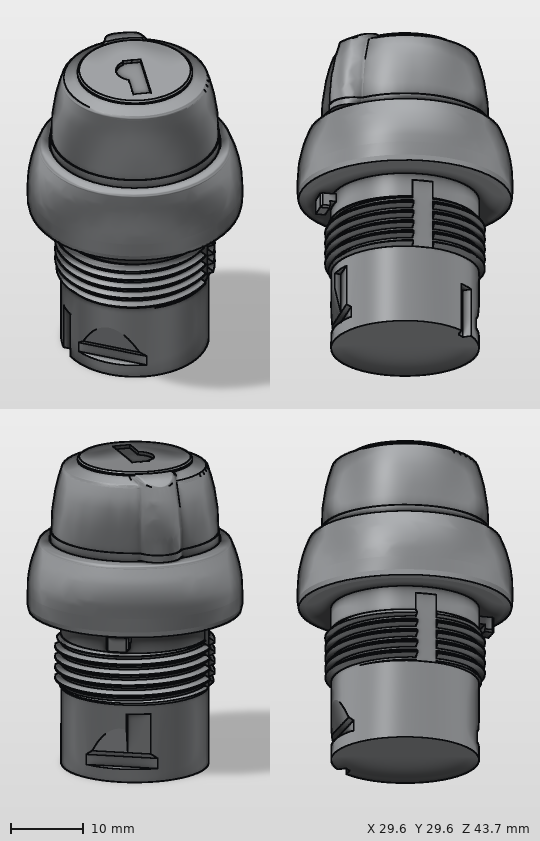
import cadquery as cq
import math

total_height = 43.7
bezel_bottom = 21.85
bezel_top = 32.05
skirt_top = 33.15

barrel_radius = 10.2
neck_radius = 10.23
thread_radius = 11.0
thread_pitch = 1.5
thread_bottom = 11.05
thread_top = 18.5
crest_width = thread_pitch / 8
tooth_height = thread_radius - barrel_radius
flank_angle = math.radians(30)
crest_height_at_x = 18.15
root_embed = 0.17

bezel_diameter = 29.6
bezel_radius = bezel_diameter / 2
bezel_band = (22.75, 24.7)
bezel_base_radius = 13.75
bezel_lower_rim = (14.65, 22.02)
bezel_dome_middle = (14.38, 28.3)
bezel_dome_end = (13.35, 31.38)
bezel_rim_middle = (13.2, 31.65)
bezel_rim_end = (12.9, 31.8)

keyway_width = 2.9
keyway_top = 20.9
keyway_floor = math.sqrt(barrel_radius**2 - (keyway_width / 2) ** 2)

hook_width = 3.15
hook_top = 21.3
hook_arm_bottom = 20.2
hook_bottom = 19.23
hook_inner = 11.0
hook_outer = 12.32
hook_chamfer = 0.3

notch_floor = 8.85
notch_bottom = 1.9
notch_floor_top = 3.3
notch_knee = (9.3, 4.0)
notch_runout = 7.65

groove_top = 6.9
groove_outer = 8.95
groove_floor_start = (-6.7, -5.95)
groove_floor_end = (-5.9, -6.75)
groove_far_side = (-6.85, -8.1)
recess_floor = 9.3
recess_left = -4.2
recess_right = -0.87
recess_bottom = 4.0
recess_top = 9.75

knob_radius = 11.5
skirt_radius = 11.62
knob_side_middle = (11.1, 38.35)
knob_side_end = (10.15, 42.05)
knob_rim_middle = (10.0, 42.35)
knob_rim_end = (9.8, 42.5)
lock_radius = 7.9
lock_chamfer = 0.25
lock_seat = 43.2
pointer_bevel = 0.4
gap_width = 0.17
gap_depth = 0.45

pointer_angle = 120.0
pointer_bottom = 32.15
pointer_root = 4.35
pointer_skirt_tip = (9.88, 3.3)
pointer_sections = [
    (skirt_top, 9.88, 3.2),
    (38.45, 9.6, 3.05),
    (42.4, 8.83, 2.75),
    (total_height, 8.45, 2.62),
]
crown_dome_middle = (10.05, 43.25)
crown_dome_edge = (11.8, 42.2)
crown_shoulder = (16.0, 38.45)
pointer_taper = math.radians(18)
pointer_fillet = 0.45
joint_near = 2.4
joint_far = 3.7
key_width = 2.5
key_back = 2.6
key_front = 5.95
key_bow_radius = 2.62
key_depth = 0.5


def revolve_about_z(sketch):
    """Revolve an XZ outline (radius, height) around the part axis."""
    return sketch.close().revolve(360, (0, 0, 0), (0, 1, 0))


def make_barrel():
    """Plain cylinder with a slightly thicker neck above the thread."""
    neck = cq.Workplane("XY").workplane(offset=thread_top).circle(neck_radius)
    neck = neck.extrude(bezel_bottom + gap_depth - thread_top)
    return cq.Workplane("XY").circle(barrel_radius).extrude(thread_top).union(neck)


def make_thread():
    """Right-hand 60 degree thread that fades out at both ends."""
    turns_below = math.ceil((crest_height_at_x - thread_bottom) / thread_pitch) + 1
    start = crest_height_at_x - turns_below * thread_pitch
    length = (turns_below + 1) * thread_pitch
    root_radius = barrel_radius - root_embed
    half_crest = crest_width / 2
    half_root = half_crest + (thread_radius - root_radius) * math.tan(flank_angle)
    helix = cq.Wire.makeHelix(thread_pitch, length, root_radius, center=cq.Vector(0, 0, start))
    tooth = (
        cq.Workplane("XZ")
        .moveTo(root_radius, start - half_root)
        .lineTo(thread_radius, start - half_crest)
        .lineTo(thread_radius, start + half_crest)
        .lineTo(root_radius, start + half_root)
        .close()
        .sweep(cq.Workplane(helix), isFrenet=True)
    )
    envelope = revolve_about_z(
        cq.Workplane("XZ")
        .moveTo(0, thread_bottom)
        .lineTo(barrel_radius, thread_bottom)
        .lineTo(thread_radius + root_embed, thread_bottom + tooth_height + root_embed)
        .lineTo(thread_radius + root_embed, thread_top - tooth_height - root_embed)
        .lineTo(barrel_radius, thread_top)
        .lineTo(0, thread_top)
    )
    return tooth.intersect(envelope)


def make_keyway(side):
    depth = thread_radius + root_embed - keyway_floor
    centre = side * (keyway_floor + depth / 2)
    return (
        cq.Workplane("XY")
        .box(depth, keyway_width, keyway_top - thread_bottom, centered=(True, True, False))
        .translate((centre, 0, thread_bottom))
    )


def make_hook():
    hook = (
        cq.Workplane("YZ")
        .moveTo(notch_floor, hook_top)
        .lineTo(hook_outer, hook_top)
        .lineTo(hook_outer, hook_bottom)
        .lineTo(hook_inner, hook_bottom)
        .lineTo(hook_inner, hook_arm_bottom)
        .lineTo(notch_floor, hook_arm_bottom)
        .close()
        .extrude(hook_width / 2, both=True)
    )
    outer_face_sides = hook.faces(">Y").edges("|Z")
    bottom_sides = hook.faces("<Z").edges("|Y")
    return hook.newObject(outer_face_sides.vals() + bottom_sides.vals()).chamfer(hook_chamfer)


def make_notch(side):
    return (
        cq.Workplane("YZ")
        .moveTo(side * thread_radius, notch_bottom)
        .lineTo(side * notch_floor, notch_bottom)
        .lineTo(side * notch_floor, notch_floor_top)
        .lineTo(side * notch_knee[0], notch_knee[1])
        .lineTo(side * barrel_radius, notch_runout)
        .lineTo(side * thread_radius, notch_runout)
        .close()
        .extrude(barrel_radius, both=True)
    )


def make_corner_groove():
    return (
        cq.Workplane("XY")
        .moveTo(-groove_outer, groove_floor_start[1])
        .lineTo(*groove_floor_start)
        .lineTo(*groove_floor_end)
        .lineTo(*groove_far_side)
        .lineTo(-groove_outer, groove_far_side[1])
        .close()
        .extrude(groove_top)
    )


def make_recess():
    return cq.Workplane("XY").box(
        recess_right - recess_left,
        barrel_radius,
        recess_top - recess_bottom,
        centered=False,
    ).translate((recess_left, recess_floor, recess_bottom))


def make_bezel():
    """Domed collar with a narrow gap around the knob."""
    gap_radius = skirt_radius + gap_width
    return revolve_about_z(
        cq.Workplane("XZ")
        .moveTo(0, bezel_bottom)
        .lineTo(bezel_base_radius, bezel_bottom)
        .lineTo(*bezel_lower_rim)
        .lineTo(bezel_radius, bezel_band[0])
        .lineTo(bezel_radius, bezel_band[1])
        .threePointArc(bezel_dome_middle, bezel_dome_end)
        .threePointArc(bezel_rim_middle, bezel_rim_end)
        .lineTo(gap_radius, bezel_top)
        .lineTo(gap_radius, bezel_top - gap_depth)
        .lineTo(0, bezel_top - gap_depth)
    )


def make_knob():
    """Barrel-shaped knob with a skirt below and the round lock face on top."""
    return revolve_about_z(
        cq.Workplane("XZ")
        .moveTo(0, bezel_bottom + gap_depth)
        .lineTo(skirt_radius, bezel_bottom + gap_depth)
        .lineTo(skirt_radius, skirt_top)
        .lineTo(knob_radius, skirt_top)
        .threePointArc(knob_side_middle, knob_side_end)
        .threePointArc(knob_rim_middle, knob_rim_end)
        .lineTo(lock_radius, lock_seat)
        .lineTo(lock_radius, total_height - lock_chamfer)
        .lineTo(lock_radius - lock_chamfer, total_height)
        .lineTo(0, total_height)
    )


def pointer_outline(plane, tip_centre, tip_radius):
    """Rounded tip pointing along +X whose sides spread towards the axis."""
    tangent_x = tip_centre + tip_radius * math.sin(pointer_taper)
    tangent_y = tip_radius * math.cos(pointer_taper)
    root_y = tangent_y + (tangent_x - pointer_root) * math.tan(pointer_taper)
    return (
        plane.moveTo(pointer_root, -root_y)
        .lineTo(tangent_x, -tangent_y)
        .threePointArc((tip_centre + tip_radius, 0), (tangent_x, tangent_y))
        .lineTo(pointer_root, root_y)
        .close()
    )


def make_pointer():
    """Pointer along +X: bulged sides, a short skirt and a domed crown."""
    upper = cq.Workplane("XY")
    level = 0
    for height, tip_centre, tip_radius in pointer_sections:
        upper = pointer_outline(upper.workplane(offset=height - level), tip_centre, tip_radius)
        level = height
    upper = upper.loft(ruled=False)
    skirt_plane = cq.Workplane("XY").workplane(offset=pointer_bottom)
    skirt = pointer_outline(skirt_plane, *pointer_skirt_tip).extrude(skirt_top - pointer_bottom)
    bevel_top = (lock_radius + pointer_bevel, lock_seat + pointer_bevel)
    crown = revolve_about_z(
        cq.Workplane("XZ")
        .moveTo(0, bezel_bottom)
        .lineTo(crown_shoulder[0], bezel_bottom)
        .lineTo(*crown_shoulder)
        .lineTo(*crown_dome_edge)
        .threePointArc(crown_dome_middle, bevel_top)
        .lineTo(lock_radius, lock_seat)
        .lineTo(0, lock_seat)
    )
    return upper.union(skirt).intersect(crown)


def round_pointer(knob):
    """Round the pointer's crown edge and its side joints with the knob."""
    joint_sides = [
        cq.selectors.BoxSelector(
            (lock_radius - 0.45, side * joint_near, pointer_bottom),
            (skirt_radius, side * joint_far, total_height),
        )
        for side in (-1, 1)
    ]
    tip_edge = cq.selectors.BoxSelector(
        (crown_dome_middle[0], -0.45, crown_dome_edge[1]),
        (crown_dome_edge[0], 0.45, total_height),
    )
    edges = knob.edges(joint_sides[0] + joint_sides[1] + tip_edge)
    return edges.fillet(pointer_fillet)


def make_keyhole():
    """Key slot reaching away from the pointer, with a half-round bow on one side."""
    length = key_back + key_front
    floor = total_height - key_depth
    slot = (
        cq.Workplane("XY", origin=(0, 0, floor))
        .center((key_back - key_front) / 2, 0)
        .rect(length, key_width)
        .extrude(key_depth)
    )
    bow = (
        cq.Workplane("XY", origin=(0, 0, floor))
        .moveTo(-key_bow_radius, 0)
        .threePointArc((0, key_bow_radius), (key_bow_radius, 0))
        .close()
        .extrude(key_depth)
    )
    return slot.union(bow).rotate((0, 0, 0), (0, 0, 1), pointer_angle)


barrel = make_barrel().union(make_thread())
for side in (-1, 1):
    barrel = barrel.cut(make_keyway(side)).cut(make_notch(side))
barrel = barrel.cut(make_corner_groove()).cut(make_recess()).union(make_hook())

knob = round_pointer(make_knob().union(make_pointer()))
knob = knob.rotate((0, 0, 0), (0, 0, 1), pointer_angle)
head = make_bezel().union(knob).cut(make_keyhole())

result = barrel.union(head)